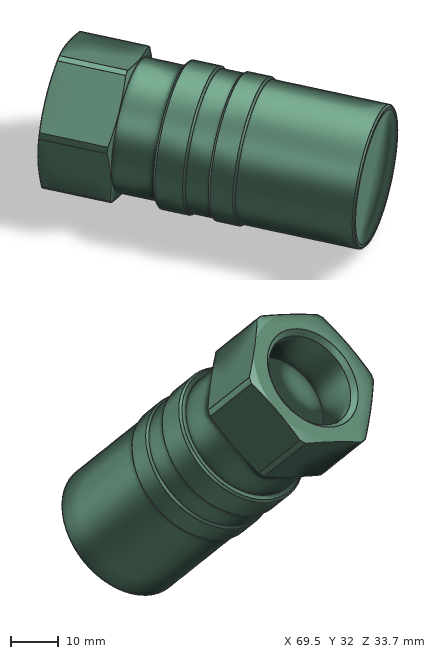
import cadquery as cq
import math

total_length = 69.5
hex_length = 16.0
sleeve_start = 25.5
front_band_end = 32.5
rear_band_start = 37.5
rear_band_end = 43.5

hex_across_flats = 30.0
hex_corner_diameter = 33.85
hex_turn = 7.5
hex_face_diameter = hex_across_flats
hex_chamfer_length = 0.5
neck_diameter = 29.0
bore_diameter = 21.0
bore_depth = 11.1
bore_mouth_diameter = 23.2
bore_mouth_depth = (bore_mouth_diameter - bore_diameter) / 2

band_diameter = 32.0
sleeve_diameter = 31.0
band_chamfer = (band_diameter - sleeve_diameter) / 2
end_chamfer = 0.4


def revolve_about_x(profile_points):
    """Revolve a closed (x, radius) outline about the X axis."""
    return cq.Workplane("XY").polyline(profile_points).close().revolve(360, (0, 0, 0), (1, 0, 0))


def make_hex():
    """Hexagon with turned corners and a shallow cone at each end."""
    across_corners = hex_across_flats / math.cos(math.radians(30))
    prism = (
        cq.Workplane("YZ")
        .polygon(6, across_corners)
        .extrude(hex_length)
        .rotate((0, 0, 0), (1, 0, 0), 90 + hex_turn)
    )
    face_radius = hex_face_diameter / 2
    corner_radius = hex_corner_diameter / 2
    turned_blank = revolve_about_x([
        (0, 0),
        (0, face_radius),
        (hex_chamfer_length, corner_radius),
        (hex_length - hex_chamfer_length, corner_radius),
        (hex_length, face_radius),
        (hex_length, 0),
    ])
    return prism.intersect(turned_blank)


def make_bore():
    """Blind port bore with a countersunk mouth."""
    bore_radius = bore_diameter / 2
    return revolve_about_x([
        (0, 0),
        (0, bore_mouth_diameter / 2),
        (bore_mouth_depth, bore_radius),
        (bore_depth, bore_radius),
        (bore_depth, 0),
    ])


def make_adapter():
    """Hexagon and the neck that carries the sleeve through to the far end."""
    neck = (
        cq.Workplane("YZ", origin=(hex_length, 0, 0))
        .circle(neck_diameter / 2)
        .extrude(total_length - hex_length)
    )
    return make_hex().union(neck).cut(make_bore())


def make_sleeve():
    """Tube around the neck with two raised, chamfered bands."""
    inner = neck_diameter / 2
    outer = sleeve_diameter / 2
    band = band_diameter / 2
    return revolve_about_x([
        (sleeve_start, inner),
        (sleeve_start, outer),
        (sleeve_start + band_chamfer, band),
        (front_band_end - band_chamfer, band),
        (front_band_end, outer),
        (rear_band_start, outer),
        (rear_band_start + band_chamfer, band),
        (rear_band_end - band_chamfer, band),
        (rear_band_end, outer),
        (total_length - end_chamfer, outer),
        (total_length, outer - end_chamfer),
        (total_length, inner),
    ])


adapter = make_adapter()
sleeve = make_sleeve()

result = cq.Compound.makeCompound([adapter.val(), sleeve.val()])